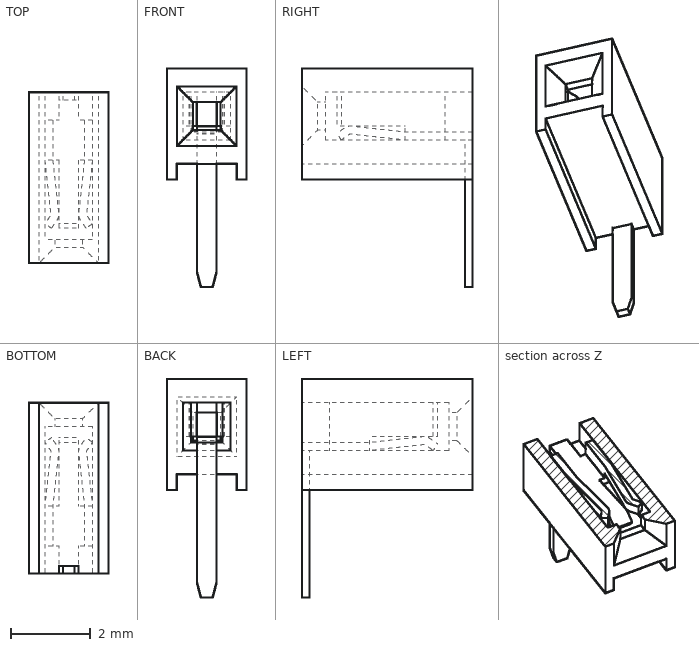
import cadquery as cq
import math


housing_width = 2.0
housing_length = 4.3
body_height = 2.4
foot_height = 0.4
foot_width = 0.25
body_bottom = -body_height / 2
foot_bottom = body_bottom - foot_height

throat_size = 0.7
funnel_depth = 0.4
funnel_mouth_size = throat_size + 2 * funnel_depth
throat_length = 0.2
cavity_front = funnel_depth + throat_length
cavity_size = 1.2

sheet = 0.2
shell_outer = cavity_size / 2
shell_inner = shell_outer - sheet
shell_front = 2.6
shell_length = 1.0

strip_width = 0.5
finger_gap = 0.5
finger_front = 0.88
finger_tip_offset = 0.435
bend_radius = 0.24
lead_angle = math.radians(35)

overall_height = 5.5
tail_bottom = body_height / 2 - overall_height
tail_front = housing_length - sheet
tail_point_length = 0.38
tail_tip_width = 0.3


def box(x_min, x_max, y_min, y_max, z_min, z_max):
    return cq.Workplane("XY").box(
        x_max - x_min, y_max - y_min, z_max - z_min, centered=False
    ).translate((x_min, y_min, z_min))


def centered_bar(size, y_min, y_max):
    """Square bar along the socket axis."""
    return box(-size / 2, size / 2, y_min, y_max, -size / 2, size / 2)


def make_housing():
    half_width = housing_width / 2
    block = box(-half_width, half_width, 0, housing_length, foot_bottom, body_height / 2)

    channel_half = half_width - foot_width
    channel = box(-channel_half, channel_half, 0, housing_length, foot_bottom, body_bottom)

    funnel = (
        cq.Workplane("XZ")
        .rect(funnel_mouth_size, funnel_mouth_size)
        .workplane(offset=-funnel_depth)
        .rect(throat_size, throat_size)
        .loft(ruled=True)
    )
    throat = centered_bar(throat_size, funnel_depth, cavity_front)
    cavity = centered_bar(cavity_size, cavity_front, housing_length)
    tail_slot = box(
        -strip_width / 2, strip_width / 2, tail_front, housing_length, body_bottom, -shell_outer
    )
    return block.cut(channel).cut(funnel).cut(throat).cut(cavity).cut(tail_slot)


def make_finger(low_edge, high_edge):
    """Finger on the +X side: lead-in ramp, bend nearest the axis, then a slope back to the shell."""
    bend_x = finger_gap / 2 + bend_radius
    ramp_rise = finger_tip_offset - (bend_x - bend_radius * math.cos(lead_angle))
    ramp_length = ramp_rise / math.sin(lead_angle)
    bend_y = finger_front + ramp_length * math.cos(lead_angle) + bend_radius * math.sin(lead_angle)

    root_x = shell_inner - bend_x
    root_y = shell_front - bend_y
    root_direction = math.atan2(root_y, -root_x)
    slope_angle = root_direction - math.acos(bend_radius / math.hypot(root_x, root_y))

    def on_bend(radius, angle):
        return (bend_x - radius * math.cos(angle), bend_y + radius * math.sin(angle))

    def ramp_start(ramp_end):
        return (
            ramp_end[0] + ramp_length * math.sin(lead_angle),
            ramp_end[1] - ramp_length * math.cos(lead_angle),
        )

    outer_radius = bend_radius - sheet
    inner_ramp_end = on_bend(bend_radius, -lead_angle)
    outer_ramp_end = on_bend(outer_radius, -lead_angle)
    inner_tip = ramp_start(inner_ramp_end)
    outer_tip = ramp_start(outer_ramp_end)
    return (
        cq.Workplane("XY", origin=(0, 0, low_edge))
        .moveTo(*inner_tip)
        .lineTo(*inner_ramp_end)
        .threePointArc(on_bend(bend_radius, 0), on_bend(bend_radius, slope_angle))
        .lineTo(shell_inner, shell_front)
        .lineTo(shell_outer, shell_front)
        .lineTo(*on_bend(outer_radius, slope_angle))
        .threePointArc(on_bend(outer_radius, 0), outer_ramp_end)
        .lineTo(*outer_tip)
        .close()
        .extrude(high_edge - low_edge)
    )


def make_contact():
    shell_rear = shell_front + shell_length
    shell = box(-shell_outer, shell_outer, shell_front, shell_rear, -shell_outer, shell_outer)
    shell = shell.cut(
        box(-shell_inner, shell_inner, shell_front, shell_rear, -shell_inner, shell_outer)
    )

    right_finger = make_finger(-strip_width / 2, shell_outer)
    left_finger = right_finger.mirror("YZ")
    bottom_finger = make_finger(-strip_width / 2, strip_width / 2).rotate((0, 0, 0), (0, 1, 0), 90)

    half_strip = strip_width / 2
    floor_strip = box(
        -half_strip, half_strip, shell_rear, housing_length, -shell_outer, -shell_inner
    )
    tail = (
        cq.Workplane("XZ", origin=(0, housing_length, 0))
        .moveTo(-half_strip, -shell_outer)
        .lineTo(-half_strip, tail_bottom + tail_point_length)
        .lineTo(-tail_tip_width / 2, tail_bottom)
        .lineTo(tail_tip_width / 2, tail_bottom)
        .lineTo(half_strip, tail_bottom + tail_point_length)
        .lineTo(half_strip, -shell_outer)
        .close()
        .extrude(sheet)
    )

    contact = shell
    for piece in (right_finger, left_finger, bottom_finger, floor_strip, tail):
        contact = contact.union(piece)
    return contact


housing = make_housing()
contact = make_contact()

result = cq.Compound.makeCompound([housing.solids().val(), contact.solids().val()])